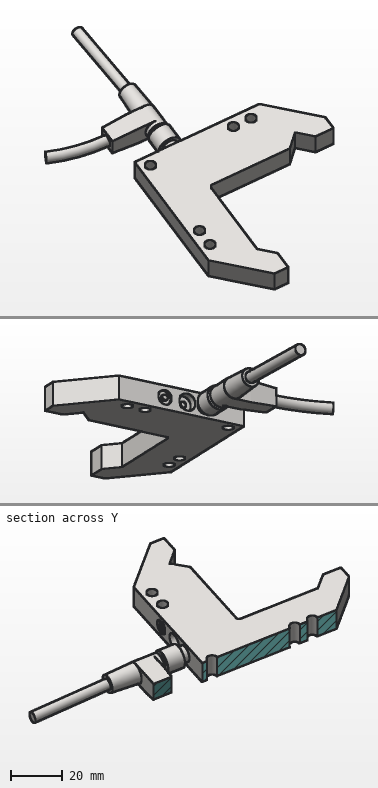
import cadquery as cq
import math


leg_length = 75.1
thickness = 10.0
arm_width = 25.0
base_width = 19.2
jaw_start = 67.0
bevel_start = 56.3
inner_corner_radius = 1.2

mounting_hole_diameter = 4.4
mounting_hole_inset = 4.5
near_hole_offset = 42.0
mounting_hole_pitch = 8.0

post_diameter = 2.5
button_y = 35.6
button_diameter = 6.0
button_depth = 1.0
socket_y = 25.5
socket_diameter = 7.1
socket_depth = 3.5
socket_post_height = 0.5

axis_y = 17.5
stub_end = 2.9
nut_end = 10.5
neck_end = 11.6
sleeve_end = 22.2
boot_end = 35.0
stub_diameter = 7.0
nut_diameter = thickness
neck_diameter = 6.0
cable_diameter = 4.6

sleeve_diameter = 9.0
block_width = 8.5
block_tip_width = 7.8
block_tip_height = 7.5
taper_start_y = 9.7
block_tip_y = -1.7
block_x = block_width / 2 - sleeve_end
angled_cable_drop = 24.8
angled_cable_bend = 22.0

boot_large_diameter = 8.9
boot_small_diameter = 7.5
straight_cable_end = 70.1
straight_cable_shift = 1.9


def rod(start_x, end_x, diameter, y):
    """Cylinder along X at the given Y."""
    profile = cq.Workplane("YZ", origin=(start_x, y, 0)).circle(diameter / 2)
    return profile.extrude(end_x - start_x)


def round_loft(start_x, end_x, start_diameter, end_diameter, start_y, end_y):
    """Straight-sided round body along X, with a circle square to X at each end."""
    return (
        cq.Workplane("YZ", origin=(start_x, start_y, 0))
        .circle(start_diameter / 2)
        .workplane(offset=end_x - start_x)
        .center(end_y - start_y, 0)
        .circle(end_diameter / 2)
        .loft(ruled=True)
    )


def make_plate():
    """Housing outline, extruded; mirrored points share the same dimensions."""
    jaw_depth = arm_width - base_width
    notch_centre = jaw_start - jaw_depth
    tip_length = leg_length - bevel_start
    outline = [
        (0, 0),
        (bevel_start, 0),
        (leg_length, tip_length),
        (leg_length, arm_width),
        (jaw_start, arm_width),
        (notch_centre, base_width),
        (arm_width, base_width),
        (arm_width, notch_centre - jaw_depth),
        (base_width, notch_centre),
        (arm_width, jaw_start),
        (arm_width, leg_length),
        (tip_length, leg_length),
        (0, bevel_start),
    ]
    plate = cq.Workplane("XY").polyline(outline).close().extrude(thickness / 2, both=True)
    inner_corner = cq.selectors.NearestToPointSelector((arm_width, base_width, 0))
    return plate.edges("|Z").edges(inner_corner).fillet(inner_corner_radius)


def make_mounting_holes():
    """One through hole in the corner and a pair along each leg."""
    centres = [(mounting_hole_inset, mounting_hole_inset)]
    for offset in (near_hole_offset, near_hole_offset + mounting_hole_pitch):
        centres.append((mounting_hole_inset, offset))
        centres.append((offset, mounting_hole_inset))
    holes = cq.Workplane("XY").pushPoints(centres).circle(mounting_hole_diameter / 2)
    return holes.extrude(thickness / 2, both=True)


def make_recess(y, diameter, depth, post_height):
    """Space of a round recess in the -X face, around the post that stands on its floor."""
    post = rod(depth - post_height, depth, post_diameter, y)
    return rod(0, depth, diameter, y).cut(post)


def make_housing():
    button = make_recess(button_y, button_diameter, button_depth, button_depth)
    socket = make_recess(socket_y, socket_diameter, socket_depth, socket_post_height)
    return make_plate().cut(make_mounting_holes()).cut(button).cut(socket)


def make_coupling():
    """Stub against the housing, then the nut, then the neck that meets the angled plug."""
    stub = rod(-stub_end, 0, stub_diameter, axis_y)
    nut = rod(-nut_end, -stub_end, nut_diameter, axis_y)
    neck = rod(-neck_end, -nut_end, neck_diameter, axis_y)
    return stub.union(nut).union(neck)


def make_angled_cable():
    """Cable that leaves the block along -Y and bends towards -X in one arc."""
    bend = math.radians(angled_cable_bend)
    bend_radius = angled_cable_drop / math.sin(bend)

    def point_on_arc(angle):
        return (
            block_x - bend_radius * (1 - math.cos(angle)),
            block_tip_y - bend_radius * math.sin(angle),
        )

    path = (
        cq.Workplane("XY")
        .moveTo(block_x, block_tip_y)
        .threePointArc(point_on_arc(bend / 2), point_on_arc(bend))
    )
    profile = cq.Workplane("XZ", origin=(block_x, block_tip_y, 0)).circle(cable_diameter / 2)
    return profile.sweep(path)


def make_angled_plug():
    sleeve = rod(-sleeve_end, -neck_end, sleeve_diameter, axis_y)
    block = (
        cq.Workplane("XZ", origin=(block_x, axis_y, 0))
        .rect(block_width, sleeve_diameter)
        .extrude(axis_y - taper_start_y)
    )
    tapered_tip = (
        cq.Workplane("XZ", origin=(block_x, taper_start_y, 0))
        .rect(block_width, sleeve_diameter)
        .workplane(offset=taper_start_y - block_tip_y)
        .rect(block_tip_width, block_tip_height)
        .loft(ruled=True)
    )
    return sleeve.union(block).union(tapered_tip).union(make_angled_cable())


def make_straight_cable():
    boot = round_loft(
        -boot_end, -sleeve_end, boot_small_diameter, boot_large_diameter, axis_y, axis_y
    )
    cable_end_y = axis_y - straight_cable_shift
    cable = round_loft(
        -straight_cable_end, -boot_end, cable_diameter, cable_diameter, cable_end_y, axis_y
    )
    return boot.union(cable)


housing = make_housing()
coupling = make_coupling()
angled_plug = make_angled_plug()
straight_cable = make_straight_cable()

result = cq.Compound.makeCompound(
    [housing.val(), coupling.val(), angled_plug.val(), straight_cable.val()]
)